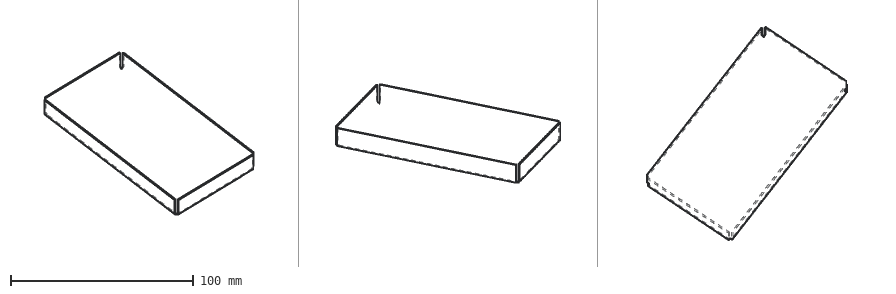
import cadquery as cq

length = 110.6
width = 58.0
height = 11.6

sheet = 0.82
inner_bend_radius = sheet
outer_bend_radius = inner_bend_radius + sheet

base_length = length - 2 * outer_bend_radius
base_width = width - 2 * outer_bend_radius


def bent_wall_profile(plane, span):
    """Closed U outline: outer skin, then back along the inner skin."""
    half = span / 2
    flat = half - outer_bend_radius
    inner = half - sheet
    return (
        cq.Workplane(plane)
        .moveTo(-half, height)
        .lineTo(-half, outer_bend_radius)
        .radiusArc((-flat, 0), -outer_bend_radius)
        .lineTo(flat, 0)
        .radiusArc((half, outer_bend_radius), -outer_bend_radius)
        .lineTo(half, height)
        .lineTo(inner, height)
        .lineTo(inner, outer_bend_radius)
        .radiusArc((flat, sheet), inner_bend_radius)
        .lineTo(-flat, sheet)
        .radiusArc((-inner, outer_bend_radius), inner_bend_radius)
        .lineTo(-inner, height)
        .close()
    )


end_walls = bent_wall_profile("XZ", length).extrude(base_width / 2, both=True)
side_walls = bent_wall_profile("YZ", width).extrude(base_length / 2, both=True)

result = end_walls.union(side_walls)